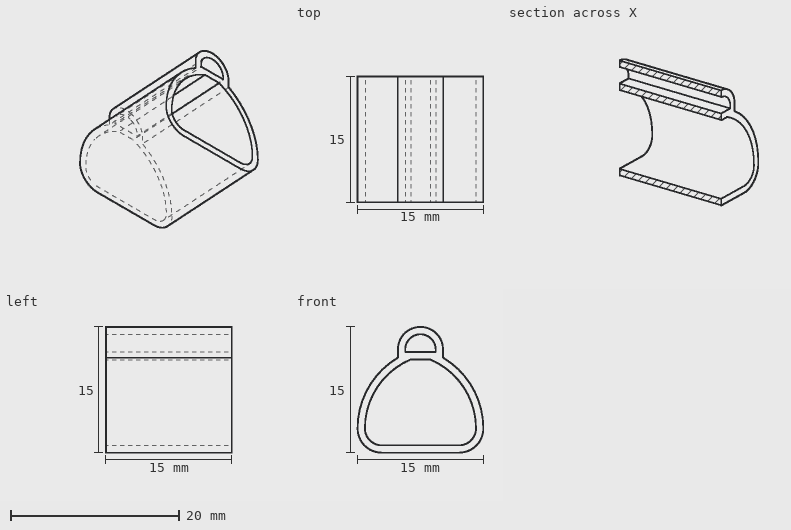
import cadquery as cq
import math

width = 15.0
height = 15.0
length = 15.0
wall = 0.9
corner_radius = 2.9
side_radius = 9.8
loop_radius = 2.7
ceiling_z = 11.1

half_width = width / 2
side_center_x = side_radius - half_width
loop_center_z = height - loop_radius
loop_floor_z = ceiling_z + wall


def prism(outline):
    """Extrude a closed XZ outline along the full length, centred on Y."""
    return outline.extrude(length / 2, both=True)


def body(inset, top_z):
    """Flat-bottomed body with curved sides, shrunk inward by inset and cut flat at top_z."""
    corner = corner_radius - inset
    side = side_radius - inset
    side_x = half_width - inset
    flat_x = half_width - corner_radius
    corner_diagonal = corner * math.sqrt(0.5)
    sweep = math.asin((top_z - corner_radius) / side)

    top_x = side * math.cos(sweep) - side_center_x
    side_mid_x = side * math.cos(sweep / 2) - side_center_x
    side_mid_z = corner_radius + side * math.sin(sweep / 2)
    corner_mid_x = flat_x + corner_diagonal
    corner_mid_z = corner_radius - corner_diagonal

    return prism(
        cq.Workplane("XZ")
        .moveTo(-flat_x, inset)
        .lineTo(flat_x, inset)
        .threePointArc((corner_mid_x, corner_mid_z), (side_x, corner_radius))
        .threePointArc((side_mid_x, side_mid_z), (top_x, top_z))
        .lineTo(-top_x, top_z)
        .threePointArc((-side_mid_x, side_mid_z), (-side_x, corner_radius))
        .threePointArc((-corner_mid_x, corner_mid_z), (-flat_x, inset))
        .close()
    )


def loop(radius, bottom_z):
    """Round-topped loop with straight legs reaching down to bottom_z."""
    return prism(
        cq.Workplane("XZ")
        .moveTo(-radius, bottom_z)
        .lineTo(radius, bottom_z)
        .lineTo(radius, loop_center_z)
        .threePointArc((0, loop_center_z + radius), (-radius, loop_center_z))
        .close()
    )


shoulder_rise = math.sqrt(side_radius**2 - (side_center_x + loop_radius) ** 2)
shoulder_z = corner_radius + shoulder_rise

outer = body(0, shoulder_z).union(loop(loop_radius, ceiling_z))
main_bore = body(wall, ceiling_z)
loop_bore = loop(loop_radius - wall, loop_floor_z)

result = outer.cut(main_bore).cut(loop_bore)